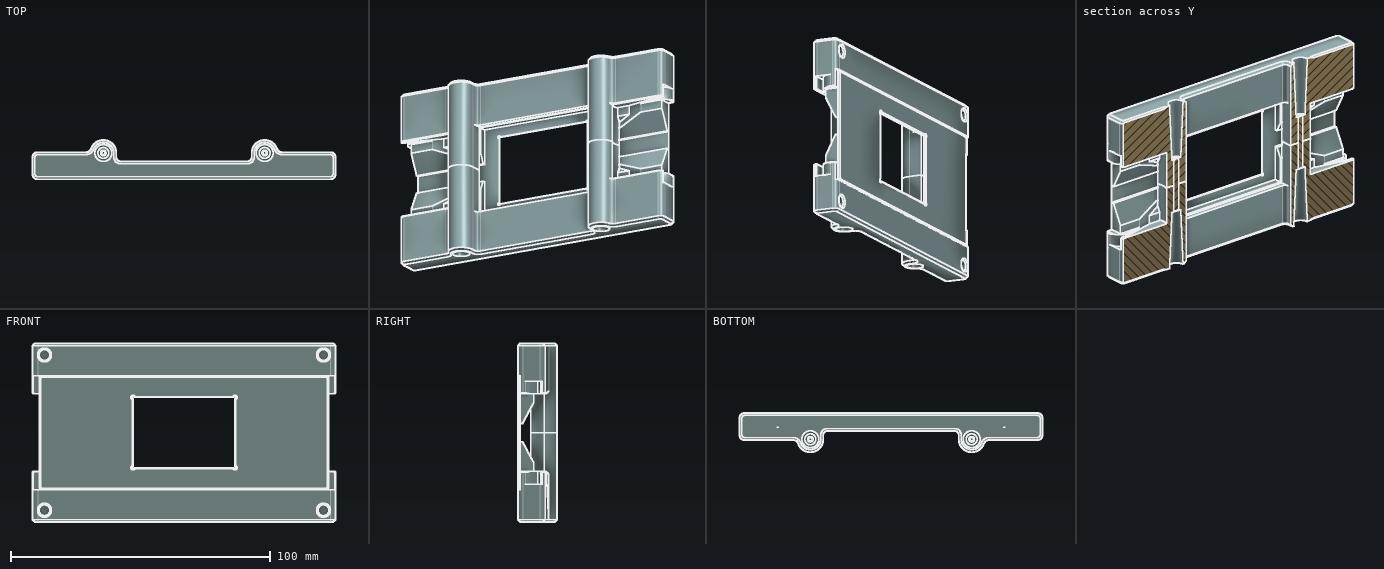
import cadquery as cq
import math


LENGTH = 117.0
HEIGHT = 69.2
DEPTH = 15.2
HALF_LENGTH = LENGTH / 2
HALF_HEIGHT = HEIGHT / 2
WING_DEPTH = 10.5
BRIDGE_DEPTH = 7.0
CORNER_RADIUS = 2.0
BRIDGE_FILLET = 1.5
END_CHAMFER = 1.0

BOSS_RADIUS = 5.0
BOSS_X = 31.1
BOSS_Y = DEPTH - BOSS_RADIUS
BOSS_OUTER_X = BOSS_X + BOSS_RADIUS
BOSS_INNER_X = BOSS_X - BOSS_RADIUS

BORE_MOUTH_RADIUS = 3.3
BORE_FLOOR_RADIUS = 2.1
BORE_DEPTH = 23.4
PIN_RADIUS = 1.0
PIN_CHAMFER = 0.4
PIN_HALF_LENGTH = HALF_HEIGHT - BORE_DEPTH

NOTCH_HALF_HEIGHT = 15.0
NOTCH_CHAMFER = 0.4
BACK_WALL_HOLLOW = 0.6

CHANNEL_HALF_HEIGHT = 19.9
CHANNEL_FRONT_Y = 4.0
CHANNEL_BACK_Y = 4.9
MOUTH_FRONT_Y = 2.8
MOUTH_BACK_Y = 8.9
MOUTH_FLARE = 0.7
LIP_RADIUS = 4.8
LIP_TOP_Y = MOUTH_FRONT_Y + LIP_RADIUS
LIP_X = HALF_LENGTH - LIP_RADIUS
RAIL_TOP_Y = 6.1

CLEARANCE_NARROW_Z = 3.5
CLEARANCE_NARROW_Y = 1.9
CLEARANCE_WIDE_Z = 11.5

OPENING_HALF_HEIGHT = 17.5

PLATE_THICKNESS = 0.88
PLATE_HALF_LENGTH = 55.8
PLATE_HALF_HEIGHT = 22.0
PLATE_CORNER_RADIUS = 0.9
PLATE_CHAMFER = 0.6
WINDOW_HALF_LENGTH = 19.7
WINDOW_HALF_HEIGHT = 13.6
WINDOW_CHAMFER = 0.4
RELIEF_RADIUS = 0.5

CORNER_HOLE_X = 53.8
CORNER_HOLE_Z = 30.0
CORNER_HOLE_RADIUS = 2.1
CORNER_HOLE_CHAMFER = 0.6
CORNER_HOLE_DEPTH = 2.3

SIDES = (-1, 1)
PICK_MARGIN = 0.01


def block(x0, x1, y0, y1, z0, z1):
    """Box between two opposite corners."""
    return cq.Workplane("XY").box(x1 - x0, y1 - y0, z1 - z0, centered=False).translate((x0, y0, z0))


def frame_blank():
    """Half frame outline raised from Z = 0, with rounded corners and a chamfered outer end."""
    foot_x = BOSS_X + math.sqrt(BOSS_RADIUS**2 - (WING_DEPTH - BOSS_Y) ** 2)
    blank = (
        cq.Workplane("XY")
        .moveTo(0, 0)
        .lineTo(HALF_LENGTH, 0)
        .lineTo(HALF_LENGTH, WING_DEPTH)
        .lineTo(foot_x, WING_DEPTH)
        .threePointArc((BOSS_X, DEPTH), (BOSS_INNER_X, BOSS_Y))
        .lineTo(BOSS_INNER_X, BRIDGE_DEPTH)
        .lineTo(0, BRIDGE_DEPTH)
        .mirrorY()
        .extrude(HALF_HEIGHT)
    )
    roundings = [
        (HALF_LENGTH, 0, CORNER_RADIUS),
        (HALF_LENGTH, WING_DEPTH, CORNER_RADIUS),
        (foot_x, WING_DEPTH, CORNER_RADIUS),
        (BOSS_INNER_X, BRIDGE_DEPTH, BRIDGE_FILLET),
    ]
    for side in SIDES:
        for x, y, radius in roundings:
            corner = cq.selectors.NearestToPointSelector((side * x, y, HALF_HEIGHT / 2))
            blank = blank.edges("|Z").edges(corner).fillet(radius)
    return blank.faces(">Z").edges().chamfer(END_CHAMFER)


def back_notch(side):
    """Notch behind the rail that follows the boss, then a slightly hollow wall below it."""
    wall_middle_y = (BOSS_Y + CHANNEL_BACK_Y) / 2
    boss_reach = BOSS_RADIUS * math.sqrt(0.5)
    notch = (
        cq.Workplane("XY")
        .moveTo(BOSS_X, DEPTH)
        .threePointArc((BOSS_X + boss_reach, BOSS_Y + boss_reach), (BOSS_OUTER_X, BOSS_Y))
        .threePointArc((BOSS_OUTER_X - BACK_WALL_HOLLOW, wall_middle_y), (BOSS_OUTER_X, CHANNEL_BACK_Y))
        .lineTo(BOSS_OUTER_X, RAIL_TOP_Y)
        .lineTo(HALF_LENGTH, RAIL_TOP_Y)
        .lineTo(HALF_LENGTH, DEPTH)
        .close()
        .extrude(NOTCH_HALF_HEIGHT)
    )
    return notch if side > 0 else notch.mirror("YZ")


def rail_end_notch(side):
    """Notch that ends the rail level with the plate."""
    x0, x1 = sorted((side * PLATE_HALF_LENGTH, side * HALF_LENGTH))
    return block(x0, x1, 0, DEPTH, 0, NOTCH_HALF_HEIGHT)


def film_channel():
    """Channel that runs through along X, wide and rounded at both mouths and low in the middle."""
    lip_reach = LIP_RADIUS * math.sqrt(0.5)
    lip_middle = (LIP_X + lip_reach, MOUTH_FRONT_Y + lip_reach)
    return (
        cq.Workplane("XY")
        .moveTo(-HALF_LENGTH, MOUTH_FRONT_Y)
        .threePointArc((-lip_middle[0], lip_middle[1]), (-LIP_X, LIP_TOP_Y))
        .lineTo(-BOSS_OUTER_X, CHANNEL_FRONT_Y)
        .lineTo(BOSS_OUTER_X, CHANNEL_FRONT_Y)
        .lineTo(LIP_X, LIP_TOP_Y)
        .threePointArc(lip_middle, (HALF_LENGTH, MOUTH_FRONT_Y))
        .lineTo(HALF_LENGTH, MOUTH_BACK_Y + MOUTH_FLARE)
        .lineTo(HALF_LENGTH - MOUTH_FLARE, MOUTH_BACK_Y)
        .lineTo(LIP_X, MOUTH_BACK_Y)
        .lineTo(BOSS_OUTER_X, CHANNEL_BACK_Y)
        .lineTo(-BOSS_OUTER_X, CHANNEL_BACK_Y)
        .lineTo(-LIP_X, MOUTH_BACK_Y)
        .lineTo(-HALF_LENGTH + MOUTH_FLARE, MOUTH_BACK_Y)
        .lineTo(-HALF_LENGTH, MOUTH_BACK_Y + MOUTH_FLARE)
        .close()
        .extrude(CHANNEL_HALF_HEIGHT)
    )


def rail_clearance():
    """Clearance in the rail that widens from the plate towards the film."""
    front = (
        cq.Workplane("YZ")
        .polyline(
            [
                (0, 0),
                (0, CLEARANCE_NARROW_Z),
                (CLEARANCE_NARROW_Y, CLEARANCE_NARROW_Z),
                (RAIL_TOP_Y, CLEARANCE_WIDE_Z),
                (RAIL_TOP_Y, 0),
            ]
        )
        .close()
        .extrude(HALF_LENGTH, both=True)
    )
    back_wall = block(-BOSS_OUTER_X, BOSS_OUTER_X, CHANNEL_BACK_Y, RAIL_TOP_Y, 0, HALF_HEIGHT)
    return front.cut(back_wall)


def corner_hole(side):
    """Blind hole from the front with a chamfered mouth."""
    mouth_radius = CORNER_HOLE_RADIUS + CORNER_HOLE_CHAMFER
    return (
        cq.Workplane("XY")
        .polyline(
            [
                (0, 0),
                (mouth_radius, 0),
                (CORNER_HOLE_RADIUS, CORNER_HOLE_CHAMFER),
                (CORNER_HOLE_RADIUS, CORNER_HOLE_DEPTH),
                (0, CORNER_HOLE_DEPTH),
            ]
        )
        .close()
        .revolve(360, (0, 0, 0), (0, 1, 0))
        .translate((side * CORNER_HOLE_X, 0, CORNER_HOLE_Z))
    )


def boss_bore(side):
    """Tapered bore from the outer end, with the pin hole below it down to Z = 0."""
    return (
        cq.Workplane("XZ")
        .polyline(
            [
                (0, 0),
                (PIN_RADIUS, 0),
                (PIN_RADIUS, PIN_HALF_LENGTH),
                (BORE_FLOOR_RADIUS, PIN_HALF_LENGTH),
                (BORE_MOUTH_RADIUS, HALF_HEIGHT),
                (0, HALF_HEIGHT),
            ]
        )
        .close()
        .revolve(360, (0, 0, 0), (0, 1, 0))
        .translate((side * BOSS_X, BOSS_Y, 0))
    )


def chamfer_wing_ends(frame):
    """Chamfer the outer edges of the wings where they face the notch."""
    outer_start = HALF_LENGTH - CORNER_RADIUS / 2
    low = NOTCH_HALF_HEIGHT - PICK_MARGIN
    high = NOTCH_HALF_HEIGHT + PICK_MARGIN
    for side in SIDES:
        end_edges = cq.selectors.BoxSelector(
            (side * outer_start, 0, low), (side * (HALF_LENGTH + PICK_MARGIN), WING_DEPTH, high)
        )
        frame = frame.edges(end_edges).chamfer(NOTCH_CHAMFER)
    return frame


def half_frame():
    """Upper half frame with all its openings."""
    frame = frame_blank()
    for side in SIDES:
        frame = frame.cut(back_notch(side)).cut(rail_end_notch(side))
    frame = chamfer_wing_ends(frame)
    frame = frame.cut(film_channel()).cut(rail_clearance())
    plate_recess = block(-HALF_LENGTH, HALF_LENGTH, 0, PLATE_THICKNESS, 0, PLATE_HALF_HEIGHT)
    opening = block(-BOSS_INNER_X, BOSS_INNER_X, 0, DEPTH, 0, OPENING_HALF_HEIGHT)
    frame = frame.cut(plate_recess).cut(opening)
    for side in SIDES:
        frame = frame.cut(corner_hole(side)).cut(boss_bore(side))
    return frame


def mask_plate():
    """Plate with a chamfered outline and a window with relieved corners."""
    plate = block(
        -PLATE_HALF_LENGTH, PLATE_HALF_LENGTH, 0, PLATE_THICKNESS, -PLATE_HALF_HEIGHT, PLATE_HALF_HEIGHT
    )
    plate = plate.edges("|Y").fillet(PLATE_CORNER_RADIUS)
    plate = plate.faces("<Y").edges().chamfer(PLATE_CHAMFER)
    window = block(
        -WINDOW_HALF_LENGTH, WINDOW_HALF_LENGTH, 0, PLATE_THICKNESS, -WINDOW_HALF_HEIGHT, WINDOW_HALF_HEIGHT
    )
    reliefs = (
        cq.Workplane("XZ")
        .rect(2 * WINDOW_HALF_LENGTH, 2 * WINDOW_HALF_HEIGHT, forConstruction=True)
        .vertices()
        .circle(RELIEF_RADIUS)
        .extrude(-PLATE_THICKNESS)
    )
    plate = plate.cut(window.union(reliefs))
    window_rim = cq.selectors.BoxSelector(
        (-WINDOW_HALF_LENGTH - RELIEF_RADIUS, -PICK_MARGIN, -WINDOW_HALF_HEIGHT - RELIEF_RADIUS),
        (WINDOW_HALF_LENGTH + RELIEF_RADIUS, PICK_MARGIN, WINDOW_HALF_HEIGHT + RELIEF_RADIUS),
    )
    return plate.edges(window_rim).chamfer(WINDOW_CHAMFER)


def joining_pin(side):
    """Pin through both halves, chamfered at both ends."""
    pin = cq.Workplane("XY").circle(PIN_RADIUS).extrude(PIN_HALF_LENGTH, both=True)
    pin = pin.faces("<Z or >Z").edges().chamfer(PIN_CHAMFER)
    return pin.translate((side * BOSS_X, BOSS_Y, 0))


upper_frame = half_frame()
lower_frame = upper_frame.mirror("XY")
plate = mask_plate()
pins = [joining_pin(side) for side in SIDES]

result = cq.Compound.makeCompound(
    [upper_frame.val(), lower_frame.val(), plate.val(), *[pin.val() for pin in pins]]
)